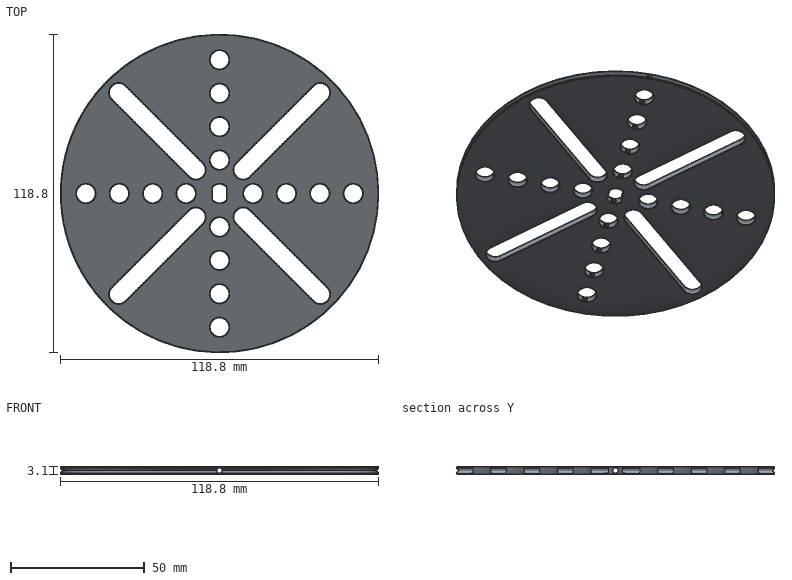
import cadquery as cq
import math

disc_diameter = 118.8
disc_radius = disc_diameter / 2
thickness = 3.1
edge_chamfer = 0.2

groove_width = 1.8
groove_depth = groove_width / 2

hole_diameter = 7.0
hole_pitch = 12.5
holes_per_arm = 4

slot_width = hole_diameter
slot_inner_radius = hole_pitch
slot_outer_radius = 53.2

bore_width_across_flats = 5.3

cross_hole_diameter = 2.0

quarter_turns = [0, 90, 180, 270]
slot_angle = 45


def make_disc():
    """Disc revolved from its half section, with chamfered rims and a V-groove."""
    half = thickness / 2
    section = (
        cq.Workplane("XZ")
        .moveTo(0, -half)
        .lineTo(disc_radius - edge_chamfer, -half)
        .lineTo(disc_radius, edge_chamfer - half)
        .lineTo(disc_radius, -groove_width / 2)
        .lineTo(disc_radius - groove_depth, 0)
        .lineTo(disc_radius, groove_width / 2)
        .lineTo(disc_radius, half - edge_chamfer)
        .lineTo(disc_radius - edge_chamfer, half)
        .lineTo(0, half)
        .close()
    )
    return section.revolve(360, (0, 0, 0), (0, 1, 0))


def make_round_hole():
    """Cutter for one through hole, revolved so that it flares at both mouths."""
    half = thickness / 2
    radius = hole_diameter / 2
    section = cq.Workplane("XZ").polyline(
        [
            (0, -half),
            (radius + edge_chamfer, -half),
            (radius, edge_chamfer - half),
            (radius, half - edge_chamfer),
            (radius + edge_chamfer, half),
            (0, half),
        ]
    )
    return section.close().revolve(360, (0, 0, 0), (0, 1, 0))


def make_slot():
    """Cutter for one slot along +X, flared at both mouths like the round holes."""
    centre = (slot_inner_radius + slot_outer_radius) / 2
    mouth_width = slot_width + 2 * edge_chamfer
    mouth_length = slot_outer_radius - slot_inner_radius + mouth_width
    lower_half = (
        cq.Workplane("XY", origin=(centre, 0, -thickness / 2))
        .slot2D(mouth_length, mouth_width)
        .extrude(edge_chamfer, taper=45)
        .faces(">Z")
        .wires()
        .toPending()
        .workplane()
        .extrude(thickness / 2 - edge_chamfer)
    )
    return lower_half.union(lower_half.mirror("XY"))


def make_bore(round_hole):
    """Central bore: a chamfered round hole narrowed by flats on its X sides."""
    flat_length = 2 * hole_diameter
    flats = cq.Workplane("XY").box(bore_width_across_flats, flat_length, thickness)
    return round_hole.intersect(flats)


def make_cross_hole():
    """Hole along X across the whole diameter, its seam turned away from the groove apex."""
    seam_turn = 45
    hole = cq.Workplane("YZ").circle(cross_hole_diameter / 2).extrude(disc_radius, both=True)
    return hole.rotate((0, 0, 0), (1, 0, 0), seam_turn)


round_hole = make_round_hole()
slot = make_slot()
cross_hole = make_cross_hole()

result = make_disc()
for turn in quarter_turns:
    for index in range(holes_per_arm):
        distance = (index + 1) * hole_pitch
        x = distance * math.cos(math.radians(turn))
        y = distance * math.sin(math.radians(turn))
        result = result.cut(round_hole.translate((x, y, 0)))
    result = result.cut(slot.rotate((0, 0, 0), (0, 0, 1), turn + slot_angle))
result = result.cut(make_bore(round_hole))
result = result.cut(cross_hole)
result = result.cut(cross_hole.rotate((0, 0, 0), (0, 0, 1), 90))